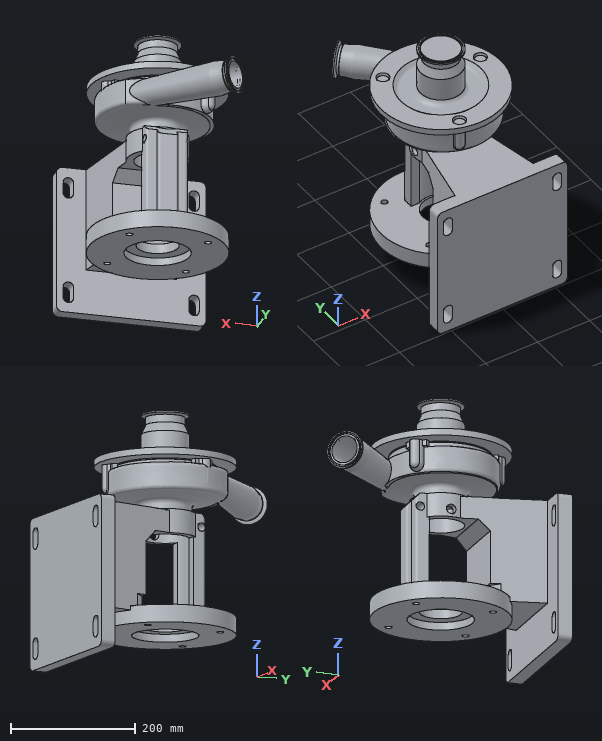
import cadquery as cq
import math

PLATE_SIZE = 250.0
PLATE_THICKNESS = 25.0
PLATE_BACK_Y = -180.5
PLATE_FRONT_Y = PLATE_BACK_Y + PLATE_THICKNESS
PLATE_CORNER_RADIUS = 10.0
SLOT_WIDTH = 17.0
SLOT_LENGTH = 35.0
SLOT_SPACING_X = 210.0
SLOT_SPACING_Z = 180.5

BASE_RADIUS = 115.0
BASE_BOTTOM_Z = 54.0
BASE_TOP_Z = 83.0
BASE_BORE_RADIUS = 34.5
BASE_BORE_DEPTH = 16.2
PILOT_RADIUS = 54.0
BASE_BOLT_CIRCLE_RADIUS = 92.8
BASE_BOLT_DIAMETER = 11.0
BASE_BOLT_COUNT = 4
BASE_BOLT_START_ANGLE = 45

RING_RADIUS = 50.8
RING_BORE_RADIUS = 38.3
RING_BOTTOM_Z = 213.0
RING_TOP_Z = 252.5
RING_HOLE_DIAMETER = 16.0
RING_HOLE_Z = 226.0

ARM_ROOT_HALF_WIDTH = 75.5
ARM_TIP_HALF_WIDTH = 47.5
ARM_TIP_Y = -15.0
ARM_BOTTOM_Z = 76.0
WINDOW_Y = -64.0
WINDOW_CHAMFER = 19.0
BOLT_RELIEF = 17.5
BOLT_RELIEF_HEIGHT = 22.0

POST_HALF_WIDTH = 35.8
POST_INNER_Y = 32.5
POST_OUTER_Y = 56.0
POST_CORNER_RADIUS = 6.2
RIB_HALF_WIDTH = 16.5
RIB_OUTER_Y = 65.0
RIB_CORNER_RADIUS = 4.5
POST_TOP_CHAMFER = 17.0
POST_HOLE_DIAMETER = 13.7
POST_HOLE_Y = 47.5
POST_HOLE_Z = 230.0

CASING_BOTTOM_Z = 275.0
CASING_TOP_Z = 320.5
SPIRAL_START_ANGLE = 135
SPIRAL_SWEEP = 270
SPIRAL_START_RADIUS = 88.0
SPIRAL_END_RADIUS = 105.5
SPIRAL_TONGUE_RADIUS = 87.5
SPIRAL_POINTS = 13
CASING_TOP_FILLET = 6.5
CASING_BOTTOM_FILLET = 6.0
HUB_RADIUS = 43.3
HUB_FILLET = 8.5
CASING_CONE_RADIUS = 91.5
CASING_CONE_BOTTOM_Z = 271.0

FLANGE_RADIUS = BASE_RADIUS
FLANGE_BOTTOM_Z = 329.0
FLANGE_TOP_Z = 340.3
NECK_RADIUS = 84.5
NECK_STEP_RADIUS = 83.0
NECK_STEP_Z = 327.0
DISH_FLOOR_Z = 330.7
DISH_RADIUS = 77.0
DISH_WALL_FOOT_RADIUS = 71.0
DISH_WALL_FOOT_Z = 334.0
DISH_FLOOR_OUTER_RADIUS = 61.0
DISH_FLOOR_INNER_RADIUS = 54.0

BOSS_COUNT = 3
BOSS_START_ANGLE = 15
BOSS_CIRCLE_RADIUS = 95.3
BOSS_RADIUS = 8.7
BOSS_BOTTOM_Z = 281.5
WEB_CIRCLE_RADIUS = 90.0
WEB_RADIUS = 11.5
WEB_BOTTOM_Z = 278.7
LUG_WIDTH = 36.5
LUG_OUTER_RADIUS = 93.5
LUG_BOTTOM_Z = 319.5
RECESS_RADIUS = 11.2
RECESS_FLOOR_RADIUS = 10.0
RECESS_DEPTH = 4.5

INLET_RADIUS = 39.0
INLET_NECK_RADIUS = 32.0
INLET_SHOULDER_Z = 382.7
INLET_NECK_Z = 398.0
INLET_TOP_Z = 416.0
FERRULE_RIM = 3.0
FERRULE_TAPER = 2.5
INLET_GROOVE_INNER_RADIUS = 33.3
GROOVE_WIDTH = 2.5
GROOVE_DEPTH = 1.2

OUTLET_ANGLE = 135
OUTLET_OFFSET = 81.5
OUTLET_Z = 298.0
OUTLET_LENGTH = 189.3
OUTLET_ROOT_RADIUS = 21.5
OUTLET_MAX_RADIUS = 28.5
OUTLET_MAX_AT = 157.0
OUTLET_REDUCER_RADIUS = 27.5
OUTLET_REDUCER_AT = 165.0
OUTLET_NECK_RADIUS = 26.5
OUTLET_NECK_AT = 172.5
OUTLET_THROAT_RADIUS = 24.5
OUTLET_THROAT_AT = 179.5
OUTLET_FERRULE_RADIUS = 31.5
OUTLET_GROOVE_INNER_RADIUS = 26.0
OUTLET_BORE_RADIUS = 22.5
OUTLET_BORE_ROOT_RADIUS = 16.5


def cylinder(radius, bottom, top):
    return cq.Workplane("XY").workplane(offset=bottom).circle(radius).extrude(top - bottom)


def polar(radius, angle):
    return radius * math.cos(math.radians(angle)), radius * math.sin(math.radians(angle))


def make_plate():
    plate = (
        cq.Workplane("XY")
        .box(PLATE_SIZE, PLATE_THICKNESS, PLATE_SIZE)
        .edges("|Y")
        .fillet(PLATE_CORNER_RADIUS)
        .faces("<Y")
        .workplane()
        .rarray(SLOT_SPACING_X, SLOT_SPACING_Z, 2, 2)
        .slot2D(SLOT_LENGTH, SLOT_WIDTH, 90)
        .cutThruAll()
    )
    return plate.translate((0, PLATE_BACK_Y + PLATE_THICKNESS / 2, PLATE_SIZE / 2))


def make_arm():
    arm = (
        cq.Workplane("XY")
        .workplane(offset=ARM_BOTTOM_Z)
        .polyline([
            (-ARM_ROOT_HALF_WIDTH, PLATE_FRONT_Y),
            (ARM_ROOT_HALF_WIDTH, PLATE_FRONT_Y),
            (ARM_TIP_HALF_WIDTH, ARM_TIP_Y),
            (-ARM_TIP_HALF_WIDTH, ARM_TIP_Y),
        ])
        .close()
        .extrude(PLATE_SIZE - ARM_BOTTOM_Z)
    )
    window = (
        cq.Workplane("YZ")
        .moveTo(WINDOW_Y, ARM_BOTTOM_Z)
        .lineTo(WINDOW_Y, RING_BOTTOM_Z - WINDOW_CHAMFER)
        .lineTo(WINDOW_Y + WINDOW_CHAMFER, RING_BOTTOM_Z)
        .lineTo(0, RING_BOTTOM_Z)
        .lineTo(0, ARM_BOTTOM_Z)
        .close()
        .extrude(ARM_ROOT_HALF_WIDTH, both=True)
    )
    arm = arm.cut(window)
    taper = (ARM_ROOT_HALF_WIDTH - ARM_TIP_HALF_WIDTH) / (ARM_TIP_Y - PLATE_FRONT_Y)
    relief_y = WINDOW_Y - BOLT_RELIEF
    relief_x = ARM_ROOT_HALF_WIDTH - taper * (relief_y - PLATE_FRONT_Y)
    for side in (-1, 1):
        relief = (
            cq.Workplane("XY")
            .workplane(offset=BASE_TOP_Z)
            .polyline([
                (side * relief_x, relief_y),
                (side * (relief_x - BOLT_RELIEF), WINDOW_Y),
                (side * relief_x, WINDOW_Y),
            ])
            .close()
            .extrude(BOLT_RELIEF_HEIGHT)
        )
        arm = arm.cut(relief)
    return arm


def make_post():
    height = RING_TOP_Z - BASE_BOTTOM_Z
    post = (
        cq.Workplane("XY")
        .workplane(offset=BASE_BOTTOM_Z)
        .center(0, (POST_INNER_Y + POST_OUTER_Y) / 2)
        .rect(2 * POST_HALF_WIDTH, POST_OUTER_Y - POST_INNER_Y)
        .extrude(height)
        .edges("|Z and >Y")
        .fillet(POST_CORNER_RADIUS)
    )
    rib = (
        cq.Workplane("XY")
        .workplane(offset=BASE_BOTTOM_Z)
        .center(0, (POST_INNER_Y + RIB_OUTER_Y) / 2)
        .rect(2 * RIB_HALF_WIDTH, RIB_OUTER_Y - POST_INNER_Y)
        .extrude(height)
        .edges("|Z and >Y")
        .fillet(RIB_CORNER_RADIUS)
    )
    top_chamfer = (
        cq.Workplane("YZ")
        .polyline([
            (RIB_OUTER_Y, RING_TOP_Z),
            (RIB_OUTER_Y - POST_TOP_CHAMFER, RING_TOP_Z),
            (RIB_OUTER_Y, RING_TOP_Z - POST_TOP_CHAMFER),
        ])
        .close()
        .extrude(POST_HALF_WIDTH, both=True)
    )
    return post.union(rib).cut(top_chamfer)


def make_bracket():
    base = cylinder(BASE_RADIUS, BASE_BOTTOM_Z, BASE_TOP_Z)
    ring = cylinder(RING_RADIUS, RING_BOTTOM_Z, RING_TOP_Z)
    bracket = make_plate().union(make_arm()).union(base).union(ring).union(make_post())
    bracket = bracket.cut(cylinder(RING_BORE_RADIUS, BASE_TOP_Z, RING_TOP_Z))
    bracket = bracket.cut(cylinder(BASE_BORE_RADIUS, BASE_BOTTOM_Z, BASE_TOP_Z))
    bracket = bracket.cut(cylinder(PILOT_RADIUS, BASE_BOTTOM_Z, BASE_TOP_Z - BASE_BORE_DEPTH))
    bolt_holes = (
        cq.Workplane("XY")
        .workplane(offset=BASE_BOTTOM_Z)
        .polarArray(BASE_BOLT_CIRCLE_RADIUS, BASE_BOLT_START_ANGLE, 360, BASE_BOLT_COUNT)
        .circle(BASE_BOLT_DIAMETER / 2)
        .extrude(BASE_TOP_Z - BASE_BOTTOM_Z)
    )
    post_hole = (
        cq.Workplane("YZ")
        .center(POST_HOLE_Y, POST_HOLE_Z)
        .circle(POST_HOLE_DIAMETER / 2)
        .extrude(POST_HALF_WIDTH, both=True)
    )
    ring_hole = (
        cq.Workplane("YZ")
        .center(0, RING_HOLE_Z)
        .circle(RING_HOLE_DIAMETER / 2)
        .extrude(-RING_RADIUS)
    )
    return bracket.cut(bolt_holes).cut(post_hole).cut(ring_hole)


def make_casing():
    growth = SPIRAL_END_RADIUS - SPIRAL_START_RADIUS
    spiral = []
    for step in range(SPIRAL_POINTS):
        turn = step / (SPIRAL_POINTS - 1)
        radius = SPIRAL_START_RADIUS + growth * turn
        spiral.append(polar(radius, SPIRAL_START_ANGLE + SPIRAL_SWEEP * turn))
    tongue_angle = SPIRAL_START_ANGLE + (SPIRAL_SWEEP - 360) / 2
    volute = (
        cq.Workplane("XY")
        .workplane(offset=CASING_BOTTOM_Z)
        .spline(spiral)
        .threePointArc(polar(SPIRAL_TONGUE_RADIUS, tongue_angle), spiral[0])
        .close()
        .extrude(CASING_TOP_Z - CASING_BOTTOM_Z)
        .faces(">Z")
        .edges()
        .fillet(CASING_TOP_FILLET)
        .faces("<Z")
        .edges()
        .fillet(CASING_BOTTOM_FILLET)
    )
    fillet_middle = HUB_FILLET * (1 - math.sqrt(0.5))
    back = (
        cq.Workplane("XZ")
        .moveTo(0, RING_TOP_Z)
        .lineTo(HUB_RADIUS, RING_TOP_Z)
        .lineTo(HUB_RADIUS, CASING_CONE_BOTTOM_Z - HUB_FILLET)
        .threePointArc(
            (HUB_RADIUS + fillet_middle, CASING_CONE_BOTTOM_Z - fillet_middle),
            (HUB_RADIUS + HUB_FILLET, CASING_CONE_BOTTOM_Z),
        )
        .lineTo(CASING_CONE_RADIUS, CASING_BOTTOM_Z)
        .lineTo(0, CASING_BOTTOM_Z)
        .close()
        .revolve(360, (0, 0, 0), (0, 1, 0))
    )
    return volute.union(back)


def make_cover():
    rim_z = INLET_TOP_Z - FERRULE_RIM
    return (
        cq.Workplane("XZ")
        .moveTo(0, CASING_BOTTOM_Z)
        .lineTo(NECK_RADIUS, CASING_BOTTOM_Z)
        .lineTo(NECK_RADIUS, NECK_STEP_Z)
        .lineTo(NECK_STEP_RADIUS, NECK_STEP_Z)
        .lineTo(NECK_STEP_RADIUS, FLANGE_BOTTOM_Z)
        .lineTo(FLANGE_RADIUS, FLANGE_BOTTOM_Z)
        .lineTo(FLANGE_RADIUS, FLANGE_TOP_Z)
        .lineTo(DISH_RADIUS, FLANGE_TOP_Z)
        .lineTo(DISH_WALL_FOOT_RADIUS, DISH_WALL_FOOT_Z)
        .tangentArcPoint((DISH_FLOOR_OUTER_RADIUS, DISH_FLOOR_Z), relative=False)
        .lineTo(DISH_FLOOR_INNER_RADIUS, DISH_FLOOR_Z)
        .tangentArcPoint((INLET_RADIUS, FLANGE_TOP_Z), relative=False)
        .lineTo(INLET_RADIUS, INLET_SHOULDER_Z)
        .lineTo(INLET_NECK_RADIUS, INLET_NECK_Z)
        .lineTo(INLET_NECK_RADIUS, rim_z - FERRULE_TAPER)
        .lineTo(INLET_RADIUS, rim_z)
        .lineTo(INLET_RADIUS, INLET_TOP_Z)
        .lineTo(INLET_GROOVE_INNER_RADIUS + GROOVE_WIDTH, INLET_TOP_Z)
        .lineTo(INLET_GROOVE_INNER_RADIUS + GROOVE_WIDTH, INLET_TOP_Z - GROOVE_DEPTH)
        .lineTo(INLET_GROOVE_INNER_RADIUS, INLET_TOP_Z - GROOVE_DEPTH)
        .lineTo(INLET_GROOVE_INNER_RADIUS, INLET_TOP_Z)
        .lineTo(0, INLET_TOP_Z)
        .close()
        .revolve(360, (0, 0, 0), (0, 1, 0))
    )


def make_round_ended_pin(radius, bottom, distance):
    ball_z = bottom + radius
    pin = cylinder(radius, ball_z, FLANGE_BOTTOM_Z)
    return pin.union(cq.Workplane("XY").sphere(radius).translate((0, 0, ball_z))).translate((distance, 0, 0))


def make_boss(angle):
    pin = make_round_ended_pin(BOSS_RADIUS, BOSS_BOTTOM_Z, BOSS_CIRCLE_RADIUS)
    web = make_round_ended_pin(WEB_RADIUS, WEB_BOTTOM_Z, WEB_CIRCLE_RADIUS)
    lug = (
        cq.Workplane("XY")
        .workplane(offset=LUG_BOTTOM_Z)
        .center(LUG_OUTER_RADIUS / 2, 0)
        .rect(LUG_OUTER_RADIUS, LUG_WIDTH)
        .extrude(FLANGE_BOTTOM_Z - LUG_BOTTOM_Z)
        .intersect(cylinder(LUG_OUTER_RADIUS, LUG_BOTTOM_Z, FLANGE_BOTTOM_Z))
    )
    return pin.union(web).union(lug).rotate((0, 0, 0), (0, 0, 1), angle)


def make_recess(angle):
    x, y = polar(BOSS_CIRCLE_RADIUS, angle)
    recess = cq.Solid.makeCone(
        RECESS_FLOOR_RADIUS,
        RECESS_RADIUS,
        RECESS_DEPTH,
        cq.Vector(x, y, FLANGE_TOP_Z - RECESS_DEPTH),
    )
    return cq.Workplane("XY").add(recess)


def place_outlet(profile):
    x, y = polar(OUTLET_OFFSET, OUTLET_ANGLE - 90)
    return (
        profile.revolve(360, (0, 0, 0), (0, 1, 0))
        .rotate((0, 0, 0), (0, 0, 1), OUTLET_ANGLE - 90)
        .translate((x, y, OUTLET_Z))
    )


def make_outlet():
    rim_at = OUTLET_LENGTH - FERRULE_RIM
    profile = (
        cq.Workplane("XY")
        .lineTo(OUTLET_ROOT_RADIUS, 0)
        .lineTo(OUTLET_MAX_RADIUS, OUTLET_MAX_AT)
        .lineTo(OUTLET_REDUCER_RADIUS, OUTLET_REDUCER_AT)
        .lineTo(OUTLET_NECK_RADIUS, OUTLET_NECK_AT)
        .lineTo(OUTLET_NECK_RADIUS, OUTLET_THROAT_AT)
        .lineTo(OUTLET_THROAT_RADIUS, OUTLET_THROAT_AT)
        .lineTo(OUTLET_THROAT_RADIUS, rim_at - FERRULE_TAPER)
        .lineTo(OUTLET_FERRULE_RADIUS, rim_at)
        .lineTo(OUTLET_FERRULE_RADIUS, OUTLET_LENGTH)
        .lineTo(OUTLET_GROOVE_INNER_RADIUS + GROOVE_WIDTH, OUTLET_LENGTH)
        .lineTo(OUTLET_GROOVE_INNER_RADIUS + GROOVE_WIDTH, OUTLET_LENGTH - GROOVE_DEPTH)
        .lineTo(OUTLET_GROOVE_INNER_RADIUS, OUTLET_LENGTH - GROOVE_DEPTH)
        .lineTo(OUTLET_GROOVE_INNER_RADIUS, OUTLET_LENGTH)
        .lineTo(0, OUTLET_LENGTH)
        .close()
    )
    return place_outlet(profile)


def make_outlet_bore():
    profile = (
        cq.Workplane("XY")
        .lineTo(OUTLET_BORE_ROOT_RADIUS, 0)
        .lineTo(OUTLET_BORE_RADIUS, OUTLET_MAX_AT)
        .lineTo(OUTLET_BORE_RADIUS, OUTLET_LENGTH)
        .lineTo(0, OUTLET_LENGTH)
        .close()
    )
    return place_outlet(profile)


result = make_bracket().union(make_casing()).union(make_cover()).union(make_outlet())
for boss_number in range(BOSS_COUNT):
    boss_angle = BOSS_START_ANGLE + boss_number * 360 / BOSS_COUNT
    result = result.union(make_boss(boss_angle)).cut(make_recess(boss_angle))
result = result.cut(make_outlet_bore())